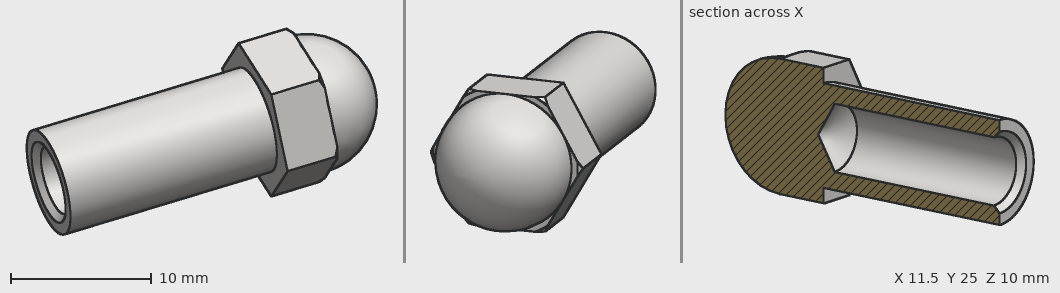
import cadquery as cq
import math

overall_length = 25.0
across_flats = 10.0
dome_radius = across_flats / 2
hex_height = 4.0
shank_length = overall_length - dome_radius - hex_height
shank_diameter = 7.75

bore_diameter = 5.0
countersink_diameter = 6.0
countersink_depth = (countersink_diameter - bore_diameter) / 2
bore_depth = 15.0
drill_point_angle = 118.0

corner_chamfer = 0.3

across_corners = across_flats / math.cos(math.radians(30))
hex_end = shank_length + hex_height


def revolve_about_y(profile):
    """Revolve a closed XY profile a full turn about the Y axis."""
    return profile.close().revolve(360, (0, 0, 0), (0, 1, 0))


def make_shank():
    return cq.Workplane("XZ").circle(shank_diameter / 2).extrude(-shank_length)


def make_hexagon():
    """Hexagonal prism with corners on X, trimmed by a cone at the dome end."""
    prism = (
        cq.Workplane("XZ", origin=(0, shank_length, 0))
        .polygon(6, across_corners)
        .extrude(-hex_height)
    )
    corner_radius = across_corners / 2
    envelope = revolve_about_y(
        cq.Workplane("XY")
        .moveTo(0, shank_length)
        .lineTo(corner_radius, shank_length)
        .lineTo(corner_radius, hex_end - corner_chamfer)
        .lineTo(corner_radius - corner_chamfer, hex_end)
        .lineTo(0, hex_end)
    )
    return prism.intersect(envelope)


def make_dome():
    """Hemisphere seated on the end face of the hexagon."""
    diagonal = dome_radius * math.sqrt(0.5)
    return revolve_about_y(
        cq.Workplane("XY")
        .moveTo(0, hex_end)
        .lineTo(dome_radius, hex_end)
        .threePointArc((diagonal, hex_end + diagonal), (0, overall_length))
    )


def make_bore():
    """Countersunk blind hole with a conical drill point."""
    bore_radius = bore_diameter / 2
    point_depth = bore_radius / math.tan(math.radians(drill_point_angle / 2))
    return revolve_about_y(
        cq.Workplane("XY")
        .lineTo(countersink_diameter / 2, 0)
        .lineTo(bore_radius, countersink_depth)
        .lineTo(bore_radius, bore_depth)
        .lineTo(0, bore_depth + point_depth)
    )


result = make_shank().union(make_hexagon()).union(make_dome()).cut(make_bore())